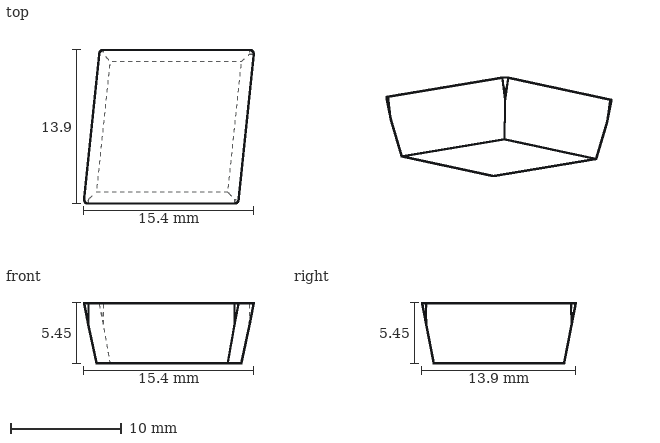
import cadquery as cq
import math

inscribed_circle = 13.93
thickness = 5.45
overall_length = 15.37
clearance_angle = 11.0
corner_radius = 0.4

acute_angle = 2 * math.atan(
    (inscribed_circle - 2 * corner_radius) / (overall_length - 2 * corner_radius)
)
clearance_slope = math.tan(math.radians(clearance_angle))
cone_depth = corner_radius / clearance_slope
bottom_circle = inscribed_circle - 2 * thickness * clearance_slope


def rhombus_corners(circle):
    """Sharp corners of the rhombus around an inscribed circle, counterclockwise."""
    half_side = circle / math.sin(acute_angle) / 2
    half_height = circle / 2
    half_lean = half_height / math.tan(acute_angle)
    return [
        (-half_side - half_lean, -half_height),
        (half_side - half_lean, -half_height),
        (half_side + half_lean, half_height),
        (-half_side + half_lean, half_height),
    ]


def tapered_block():
    """Sharp-cornered block that narrows evenly from top to bottom."""
    wires = [
        cq.Wire.makePolygon([cq.Vector(x, y, z) for x, y in rhombus_corners(circle)], close=True)
        for circle, z in ((bottom_circle, 0), (inscribed_circle, thickness))
    ]
    return cq.Workplane(obj=cq.Solid.makeLoft(wires, True))


def tangent_point(center, corner, neighbor):
    """Foot of the perpendicular from the cone center to the edge leaving a sharp corner."""
    along_edge = (neighbor - corner).normalized()
    return corner + along_edge * (center - corner).dot(along_edge)


def round_corner(body, corner, previous_corner, next_corner, center):
    """Replace a sharp upper corner with a cone sector whose apex lies on the sharp edge."""
    start = tangent_point(center, corner, previous_corner)
    end = tangent_point(center, corner, next_corner)
    corner_kite = (
        cq.Workplane("XY", origin=(0, 0, thickness))
        .polyline([(point.x, point.y) for point in (center, start, corner, end)])
        .close()
        .extrude(-cone_depth)
    )

    top = cq.Vector(0, 0, thickness)
    apex = center + cq.Vector(0, 0, thickness - cone_depth)
    sector_profile = cq.Wire.makePolygon([apex, start + top, center + top], close=True)
    sweep_angle = math.degrees((start - center).getAngle(end - center))
    cone_sector = cq.Solid.revolve(sector_profile, [], sweep_angle, apex, center + top)
    return body.cut(corner_kite).union(cq.Workplane(obj=cone_sector))


top_corners = [cq.Vector(x, y) for x, y in rhombus_corners(inscribed_circle)]
cone_centers = [cq.Vector(x, y) for x, y in rhombus_corners(inscribed_circle - 2 * corner_radius)]
corner_count = len(top_corners)

result = tapered_block()
for index in range(corner_count):
    result = round_corner(
        result,
        top_corners[index],
        top_corners[index - 1],
        top_corners[(index + 1) % corner_count],
        cone_centers[index],
    )
result = result.clean()